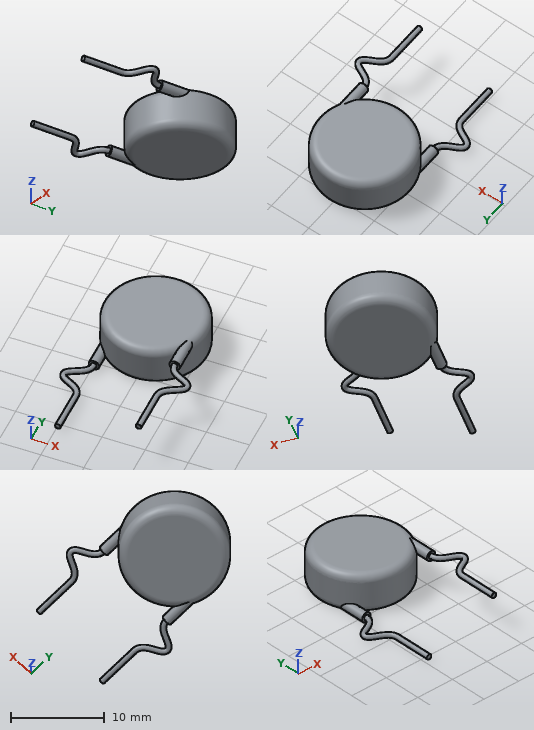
import cadquery as cq

TOTAL_LENGTH = 22.0
TOTAL_WIDTH = 14.98

BODY_DIAMETER = 12.0
BODY_HEIGHT = 5.0
BODY_EDGE_RADIUS = 1.0

SLEEVE_DIAMETER = 1.23
SLEEVE_END_Y = -6.03

LEAD_DIAMETER = 0.65
LEAD_OFFSET_X = 4.69
LEAD_OFFSET_Z = 1.8
KINK_PEAK_X = (TOTAL_WIDTH - LEAD_DIAMETER) / 2
KINK_PEAK_Y = -8.5
KINK_END_Y = -11.0
LEAD_TIP_Y = BODY_DIAMETER / 2 - TOTAL_LENGTH
KINK_ROOT_HANDLE = 1.55
KINK_PEAK_HANDLE = 0.92

SIDES = (1, -1)


def make_sleeve(side):
    """Round stub from the middle of the body to just past its front edge."""
    return (
        cq.Workplane("XZ", origin=(side * LEAD_OFFSET_X, 0, side * LEAD_OFFSET_Z))
        .circle(SLEEVE_DIAMETER / 2)
        .extrude(-SLEEVE_END_Y)
    )


def make_body():
    """Disc with rounded rims, in one piece with its two lead sleeves."""
    body = (
        cq.Workplane("XY")
        .cylinder(BODY_HEIGHT, BODY_DIAMETER / 2)
        .edges("%CIRCLE")
        .fillet(BODY_EDGE_RADIUS)
    )
    for side in SIDES:
        body = body.union(make_sleeve(side))
    return body


def make_lead(side):
    """Wire that butts against its sleeve, kinks outwards and ends in a straight leg."""
    inner_x = side * LEAD_OFFSET_X
    peak_x = side * KINK_PEAK_X
    z = side * LEAD_OFFSET_Z
    path = (
        cq.Workplane("XY", origin=(0, 0, z))
        .moveTo(inner_x, SLEEVE_END_Y)
        .bezier([
            (inner_x, SLEEVE_END_Y),
            (inner_x, SLEEVE_END_Y - KINK_ROOT_HANDLE),
            (peak_x, KINK_PEAK_Y + KINK_PEAK_HANDLE),
            (peak_x, KINK_PEAK_Y),
        ])
        .bezier([
            (peak_x, KINK_PEAK_Y),
            (peak_x, KINK_PEAK_Y - KINK_PEAK_HANDLE),
            (inner_x, KINK_END_Y + KINK_ROOT_HANDLE),
            (inner_x, KINK_END_Y),
        ])
        .lineTo(inner_x, LEAD_TIP_Y)
    )
    return (
        cq.Workplane("XZ", origin=(inner_x, SLEEVE_END_Y, z))
        .circle(LEAD_DIAMETER / 2)
        .sweep(path)
    )


body = make_body()
leads = [make_lead(side) for side in SIDES]

result = cq.Compound.makeCompound([body.val(), *[lead.val() for lead in leads]])